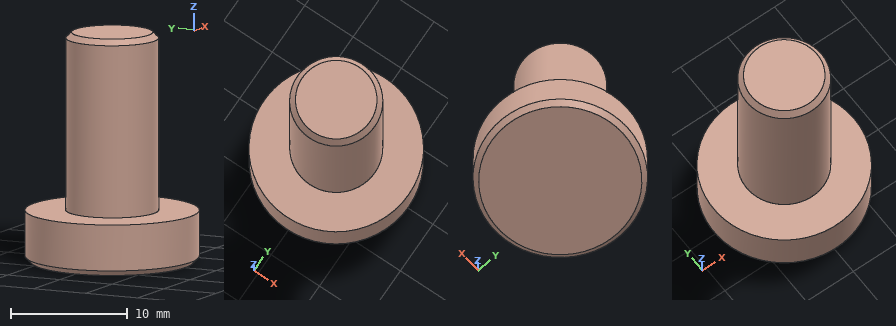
import cadquery as cq

total_height = 20.0
head_diameter = 15.0
head_height = 4.5
shank_diameter = 8.0
edge_chamfer = 0.5

shank_length = total_height - head_height

head = (
    cq.Workplane("XY")
    .circle(head_diameter / 2)
    .extrude(head_height)
    .faces("<Z")
    .chamfer(edge_chamfer)
)

shank = (
    cq.Workplane("XY")
    .workplane(offset=head_height)
    .circle(shank_diameter / 2)
    .extrude(shank_length)
    .faces(">Z")
    .chamfer(edge_chamfer)
)

result = head.union(shank)